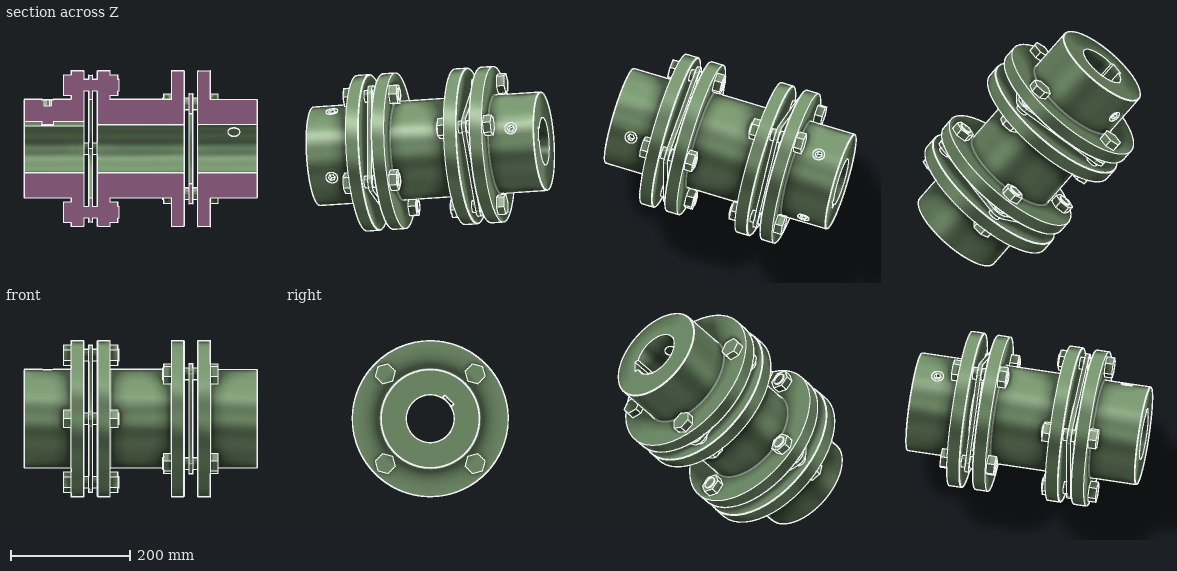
import cadquery as cq
import math

total_length = 391.0
hub_length = 100.5
flange_thickness = 21.8
pack_gap = 22.0
flange_radius = 131.0
barrel_radius = 83.0
bore_radius = 40.0
edge_chamfer = 1.0
root_fillet = 1.0

keyway_width = 22.0
keyway_floor = 45.4

screw_diameter = 20.0
screw_recess = 1.0
screw_socket_flats = 10.0
screw_socket_depth = 10.0

bolt_count = 4
bolt_circle_radius = 106.5
bolt_diameter = 20.0
bolt_head_flats = 30.0
bolt_head_height = 13.0
bolt_tail = 2.0

pack_thickness = 6.5
pack_eye_radius = 17.0

half_pitch = 180.0 / bolt_count

end_x = total_length / 2
spacer_half_length = end_x - hub_length - pack_gap
pack_x = spacer_half_length + pack_gap / 2
screw_x = (hub_length - flange_thickness) / 2
screw_face = barrel_radius - screw_recess


def hexagon_diameter(flats):
    return flats / math.cos(math.pi / 6)


def cylinder_x(radius, start, end):
    return cq.Workplane("YZ", origin=(start, 0, 0)).circle(radius).extrude(end - start)


def make_flange():
    """Flange from x = 0 towards +X, chamfered on the side facing the disc pack."""
    return cylinder_x(flange_radius, 0, flange_thickness).faces(">X").edges().chamfer(edge_chamfer)


def fillet_flange_root(body, root_x):
    """Round the corner where the barrel meets its flange at x = root_x."""
    reach = barrel_radius + root_fillet
    root = cq.selectors.BoxSelector(
        (root_x - root_fillet, -reach, -reach),
        (root_x + root_fillet, reach, reach),
        boundingbox=True,
    )
    return body.edges(root).edges("%CIRCLE").fillet(root_fillet)


def set_screw():
    """Socket set screw standing along +Z, its tip on the bore surface."""
    socket_size = hexagon_diameter(screw_socket_flats)
    screw = cq.Workplane("XY", origin=(screw_x, 0, bore_radius)).circle(screw_diameter / 2)
    screw = screw.extrude(screw_face - bore_radius)
    return screw.faces(">Z").workplane().polygon(6, socket_size).cutBlind(-screw_socket_depth)


def make_hub():
    """Hub with its free end at x = 0, keyway towards +Y, set screws towards +Y and +Z."""
    barrel_length = hub_length - flange_thickness
    hub = cylinder_x(barrel_radius, 0, barrel_length).faces("<X").edges().chamfer(edge_chamfer)
    hub = fillet_flange_root(hub.union(make_flange().translate((barrel_length, 0, 0))), barrel_length)
    hub = hub.cut(cylinder_x(bore_radius, 0, hub_length))
    keyway = cq.Workplane("XY").box(hub_length, keyway_floor, keyway_width, centered=(False, False, True))
    hub = hub.cut(keyway)
    hole = cq.Workplane("XY", origin=(screw_x, 0, 0)).circle(screw_diameter / 2).extrude(barrel_radius)
    for angle in (0, -90):
        hub = hub.cut(hole.rotate((0, 0, 0), (1, 0, 0), angle))
        hub = hub.union(set_screw().rotate((0, 0, 0), (1, 0, 0), angle))
    return hub


def make_spacer():
    """Tube with a flange at each end, centred on the origin."""
    root_x = spacer_half_length - flange_thickness
    flange = make_flange().translate((root_x, 0, 0))
    spacer = cylinder_x(barrel_radius, -root_x, root_x).union(flange).union(flange.mirror("YZ"))
    for position in (-root_x, root_x):
        spacer = fillet_flange_root(spacer, position)
    return spacer.cut(cylinder_x(bore_radius, -spacer_half_length, spacer_half_length))


def make_disc_pack():
    """Square ring of links with a round eye at each bolt, centred on x = 0."""
    square_side = bolt_circle_radius * math.sqrt(2)
    outline = cq.Workplane("YZ", origin=(-pack_thickness / 2, 0, 0))
    outer_side = square_side + 2 * pack_eye_radius
    inner_side = square_side - 2 * pack_eye_radius
    ring = outline.rect(outer_side, outer_side).extrude(pack_thickness).edges("|X").fillet(pack_eye_radius)
    ring = ring.cut(outline.rect(inner_side, inner_side).extrude(pack_thickness))
    return ring.rotate((0, 0, 0), (1, 0, 0), 45)


def make_bolt():
    """Bolt with its head towards -X and its nut towards +X, on the +Y side of the axis."""
    clamp_half = pack_gap / 2 + flange_thickness
    hexagon_size = hexagon_diameter(bolt_head_flats)
    head_end = clamp_half + bolt_head_height
    head = cq.Workplane("YZ", origin=(-head_end, 0, 0)).polygon(6, hexagon_size).extrude(bolt_head_height)
    nut = cq.Workplane("YZ", origin=(clamp_half, 0, 0)).polygon(6, hexagon_size).extrude(bolt_head_height)
    shank = cylinder_x(bolt_diameter / 2, -clamp_half, head_end + bolt_tail)
    return head.union(shank).union(nut).translate((0, bolt_circle_radius, 0))


def make_end():
    """Hub, disc pack and bolts of the -X end."""
    end = make_hub().translate((-end_x, 0, 0)).union(make_disc_pack().translate((-pack_x, 0, 0)))
    bolt = make_bolt().translate((-pack_x, 0, 0))
    for index in range(bolt_count):
        end = end.union(bolt.rotate((0, 0, 0), (1, 0, 0), index * 360 / bolt_count))
    return end


left_end = make_end()
right_end = left_end.rotate((0, 0, 0), (0, 0, 1), 180).rotate((0, 0, 0), (1, 0, 0), 180 + half_pitch)
result = make_spacer().union(left_end).union(right_end)